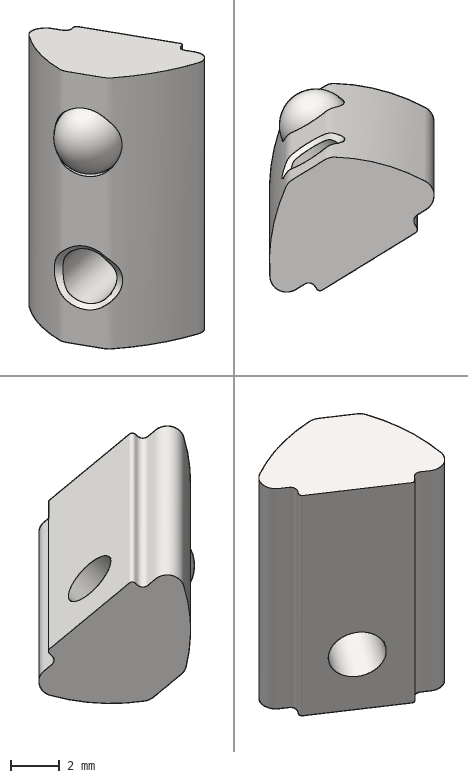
import cadquery as cq
import math

length = 12.0
half_width = 3.85
front_depth = 4.6
neck_half_width = 2.42
neck_height = 0.6
neck_corner_radius = 0.17
neck_root_radius = 0.3
lobe_radius = 0.7
front_radius = 0.7
front_half_flat = 0.79
flank_radius = 8.16

hole_radius = 1.2
hole_height = length / 4
hole_edge_chamfer = 0.2
chamfer_overrun = 0.2
chamfer_points = 48
ball_radius = 1.5
ball_height = 3 * length / 4
overall_depth = 5.55
ball_center_depth = overall_depth - ball_radius


def point_on_circle(center, radius, angle):
    return (center[0] + radius * math.cos(angle), center[1] + radius * math.sin(angle))


def arc_points(center, radius, start, end):
    """Middle and end point of an arc between two angles."""
    middle = point_on_circle(center, radius, (start + end) / 2)
    return middle, point_on_circle(center, radius, end)


def find_flank_center():
    """Center of the flank circle, which encloses and touches the wing and front circles."""
    dx = lobe_center[0] - front_center[0]
    dy = lobe_center[1] - front_center[1]
    spacing = math.hypot(dx, dy)
    offset = math.sqrt((flank_radius - lobe_radius) ** 2 - (spacing / 2) ** 2)
    return (
        (lobe_center[0] + front_center[0]) / 2 - offset * dy / spacing,
        (lobe_center[1] + front_center[1]) / 2 + offset * dx / spacing,
    )


def angle_from(start, end):
    return math.atan2(end[1] - start[1], end[0] - start[0])


lobe_center = (half_width - lobe_radius, -neck_height - lobe_radius)
front_center = (front_half_flat, front_radius - front_depth)
flank_center = find_flank_center()
wing_angle = angle_from(flank_center, lobe_center)
front_angle = angle_from(flank_center, front_center)


def make_half_profile():
    """Section on the +X side, with the wing, flank and front blend tangent to one another."""
    corner_center = (neck_half_width - neck_corner_radius, -neck_corner_radius)
    root_center = (neck_half_width + neck_root_radius, neck_root_radius - neck_height)
    return (
        cq.Workplane("XY")
        .lineTo(corner_center[0], 0)
        .threePointArc(*arc_points(corner_center, neck_corner_radius, math.pi / 2, 0))
        .lineTo(neck_half_width, root_center[1])
        .threePointArc(*arc_points(root_center, neck_root_radius, math.pi, 3 * math.pi / 2))
        .lineTo(lobe_center[0], -neck_height)
        .threePointArc(*arc_points(lobe_center, lobe_radius, math.pi / 2, wing_angle))
        .threePointArc(*arc_points(flank_center, flank_radius, wing_angle, front_angle))
        .threePointArc(*arc_points(front_center, front_radius, front_angle, -math.pi / 2))
        .lineTo(0, -front_depth)
        .close()
    )


def cylinder_along_y(radius, height, start_depth, end_depth):
    plane = cq.Plane(origin=(0, -start_depth, height), xDir=(1, 0, 0), normal=(0, -1, 0))
    return cq.Workplane(plane).circle(radius).extrude(end_depth - start_depth)


def front_surface(x):
    """Y of the front surface and its slope dY/dX at a given X >= 0."""
    blend_end = point_on_circle(front_center, front_radius, front_angle)
    if x <= front_half_flat:
        return -front_depth, 0.0
    if x <= blend_end[0]:
        center, radius = front_center, front_radius
    else:
        center, radius = flank_center, flank_radius
    run = x - center[0]
    rise = math.sqrt(radius ** 2 - run ** 2)
    return center[1] - rise, run / rise


def chamfer_ruling(angle):
    """Inner point on the hole wall, and a point beyond the front surface, of one chamfer line.

    The leg grows where the front surface falls away and the rim gets sharper.
    """
    cosine = math.cos(angle)
    sine = math.sin(angle)
    rim_y, slope = front_surface(hole_radius * abs(cosine))
    tilt = math.atan(slope * abs(cosine))
    leg = hole_edge_chamfer / math.tan((math.pi / 2 - tilt) / 2)
    outer_radius = hole_radius + leg * math.cos(tilt)
    inner_y = rim_y + leg
    outer_y = front_surface(outer_radius * abs(cosine))[0]

    end_radius = outer_radius + chamfer_overrun * (outer_radius - hole_radius)
    end_y = outer_y + chamfer_overrun * (outer_y - inner_y)
    inner = cq.Vector(hole_radius * cosine, inner_y, hole_height + hole_radius * sine)
    outer = cq.Vector(end_radius * cosine, end_y, hole_height + end_radius * sine)
    return inner, outer


def make_hole_cutter():
    """Hole volume with a chamfer that follows the curved front rim."""
    angles = [2 * math.pi * i / chamfer_points for i in range(chamfer_points)]
    rulings = [chamfer_ruling(angle) for angle in angles]
    inner = [ruling[0] for ruling in rulings]
    outer = [ruling[1] for ruling in rulings]
    back = [cq.Vector(p.x, 0, p.z) for p in inner]
    front = [cq.Vector(p.x, -overall_depth, p.z) for p in outer]
    rings = [cq.Edge.makeSpline(points, periodic=True) for points in (back, inner, outer, front)]

    faces = [cq.Face.makeRuledSurface(near, far) for near, far in zip(rings, rings[1:])]
    for ring in (rings[0], rings[-1]):
        faces.append(cq.Face.makeFromWires(cq.Wire.assembleEdges([ring])))
    return cq.Workplane(cq.Solid.makeSolid(cq.Shell.makeShell(faces)).fix())


def make_nut():
    half = make_half_profile().extrude(length)
    nut = half.union(half.mirror("YZ")).clean()
    nut = nut.cut(make_hole_cutter())

    pocket_floor = ball_center_depth - ball_radius
    return nut.cut(cylinder_along_y(ball_radius, ball_height, pocket_floor, overall_depth))


def make_ball():
    return cq.Workplane("XY").sphere(ball_radius).translate((0, -ball_center_depth, ball_height))


nut = make_nut()
ball = make_ball()
result = cq.Compound.makeCompound([nut.val(), ball.val()])